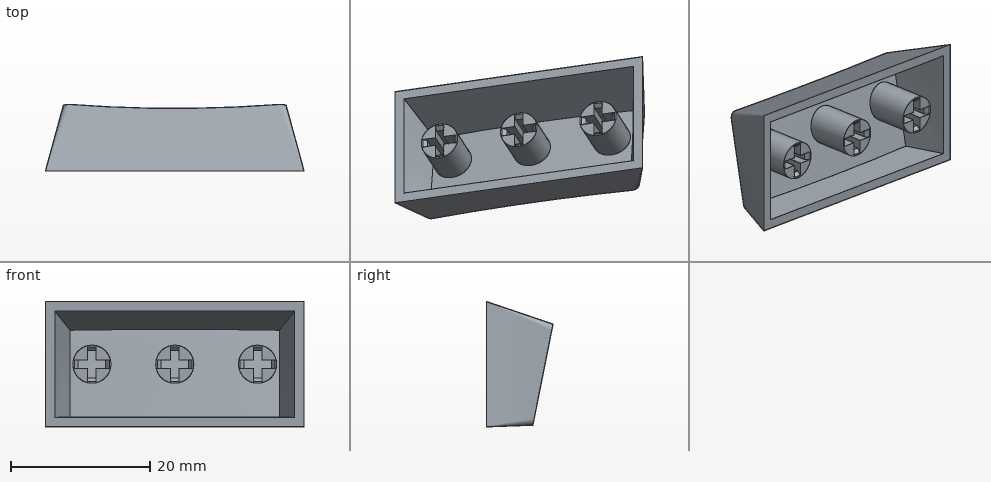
import cadquery as cq
import math

width = 37.15
height = 18.0
depth = 9.6
wall = 1.37

face_half_width = 16.0
face_top_z = 5.75
face_bottom_z = -8.75
face_bottom_y = 6.7
face_corner_radius = 0.95
sharp_radius = 0.02
dish_sag = 0.6

floor_half_width = 15.0
floor_top_z = 4.85
floor_bottom_z = -7.55
floor_bottom_y = 5.55
floor_sag = 0.4

post_pitch = 11.9
post_diameter = 5.45
slot_width = 1.23
slot_length = 3.95
mouth_length = 4.98
flare_depth = 0.55

lean_slope = (depth - face_bottom_y) / (face_top_z - face_bottom_z)
lean_angle = math.degrees(math.atan(lean_slope))
floor_top_y = floor_bottom_y + lean_slope * (floor_top_z - floor_bottom_z)


def xz_plane(y, z=0.0):
    """Sketch plane facing +Y, with local X along -X and local Y along Z."""
    return cq.Plane(origin=(0, y, z), xDir=(-1, 0, 0), normal=(0, 1, 0))


def leaning_plane(bottom_y, bottom_z, top_y, top_z):
    """Plane centred on a face that leans back from its bottom to its top edge."""
    return xz_plane((bottom_y + top_y) / 2, (bottom_z + top_z) / 2).rotated((lean_angle, 0, 0))


def rectangle(size_x, size_z, radius=0.0):
    sketch = cq.Sketch().rect(size_x, size_z)
    return sketch.vertices().fillet(radius) if radius else sketch


def taper(base, end_plane, end):
    """Loft from a sketch on the open face to a sketch on a leaning plane."""
    start = base.moved(cq.Location(xz_plane(0)))
    return cq.Workplane("XY").placeSketch(start, end.moved(cq.Location(end_plane))).loft(ruled=True)


def dish(end_plane, half_width, sag):
    """Large cylinder whose axis runs up the leaning plane; it dips by sag between the half widths."""
    radius = (half_width**2 + sag**2) / (2 * sag)
    profile_plane = cq.Plane(
        origin=(end_plane.origin - end_plane.yDir * height).toTuple(),
        xDir=end_plane.xDir.toTuple(),
        normal=end_plane.yDir.toTuple(),
    )
    return cq.Workplane(profile_plane).center(0, sag - radius).circle(radius).extrude(2 * height)


def make_outer():
    plane = leaning_plane(face_bottom_y, face_bottom_z, depth, face_top_z)
    face_length = math.hypot(face_top_z - face_bottom_z, depth - face_bottom_y)
    body = taper(
        rectangle(width, height, sharp_radius),
        plane,
        rectangle(2 * face_half_width, face_length, face_corner_radius),
    )
    return body.cut(dish(plane, face_half_width - face_corner_radius, dish_sag))


def make_cavity():
    plane = leaning_plane(floor_bottom_y, floor_bottom_z, floor_top_y, floor_top_z)
    floor_length = math.hypot(floor_top_z - floor_bottom_z, floor_top_y - floor_bottom_y)
    body = taper(
        rectangle(width - 2 * wall, height - 2 * wall),
        plane,
        rectangle(2 * floor_half_width, floor_length),
    )
    return body.cut(dish(plane, floor_half_width, floor_sag))


def slot_cutter():
    """One arm-pair of the cross along X, flared at the open end."""
    return (
        cq.Workplane("XY")
        .polyline([
            (-mouth_length / 2, 0),
            (mouth_length / 2, 0),
            (slot_length / 2, flare_depth),
            (slot_length / 2, depth),
            (-slot_length / 2, depth),
            (-slot_length / 2, flare_depth),
        ])
        .close()
        .extrude(slot_width / 2, both=True)
    )


def make_post():
    """Round post with a cross socket, its axis along Y."""
    post = cq.Workplane(xz_plane(0)).circle(post_diameter / 2).extrude(depth)
    slot = slot_cutter()
    return post.cut(slot).cut(slot.rotate((0, 0, 0), (0, 1, 0), 90))


cavity = make_cavity()
result = make_outer().cut(cavity)
post = make_post()
for index in (-1, 0, 1):
    result = result.union(post.translate((index * post_pitch, 0, 0)).intersect(cavity))